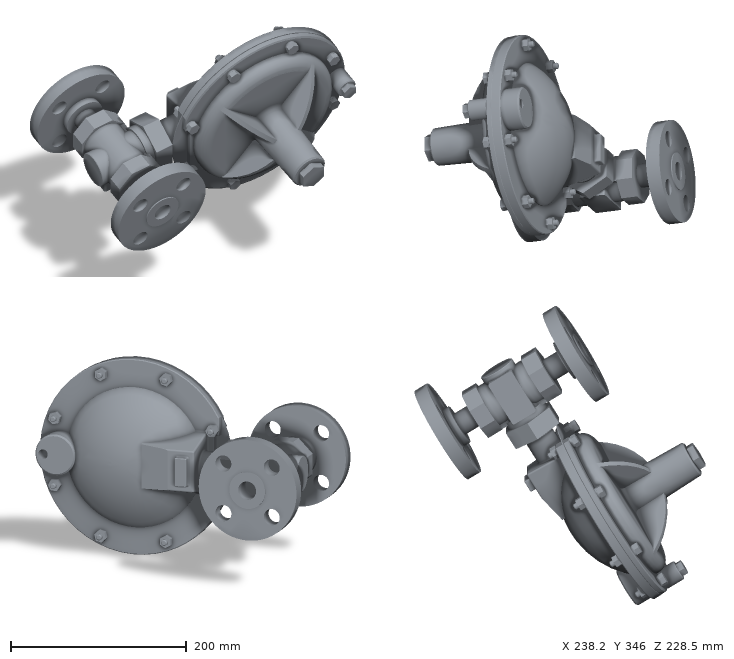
import cadquery as cq
import math


OVERALL_LENGTH = 346.0
CASE_DIAMETER = 228.5
FLANGE_RADIUS = 58.8

CASE_RADIUS = CASE_DIAMETER / 2
COVER_STEP = 0.52
COVER_RADIUS = CASE_RADIUS - COVER_STEP
CASE_LEFT = 13.5
DIAPHRAGM_LEFT = 23.0
DIAPHRAGM_RIGHT = 24.2
CASE_RIGHT = 31.0
CASE_CHAMFER = 1.0
COVER_BEVEL_DEPTH = 1.0
COVER_BEVEL_LENGTH = 2.0
COVER_CHAMFER = 0.7
LEFT_DOME_RADIUS = 82.0
LEFT_DOME_APEX = -28.0
LEFT_DOME_BASE = 12.5
RIGHT_DOME_RADIUS = 91.0
RIGHT_DOME_FACE = 48.8
RIGHT_DOME_ROUND = 14.0
RIM_FLAT_Y = -101.0
RIM_NOTCH_Y = -95.0
RIM_NOTCH_WIDTH = 64.5

BOLT_COUNT = 8
BOLT_CIRCLE_RADIUS = 102.5
BOLT_PITCH = 360 / BOLT_COUNT
HEX_TURN = BOLT_PITCH / 2
HEX_RADIUS = 7.3
STUD_RADIUS = 3.5
STUD_CHAMFER = 1.0
STUD_END = 0.7
NUT_END = 6.0
WASHER_RADIUS = 6.5
WASHER_END = 33.5
BOLT_HEAD_END = 39.5

BARREL_ROOT_RADIUS = 24.5
BARREL_TIP_RADIUS = 21.5
BARREL_TIP = 134.5
BARREL_CHAMFER = 1.7
BARREL_FILLET = 5.2
BARREL_PLUG_RADIUS = 16.3
BARREL_PLUG_NECK_RADIUS = 10.5
BARREL_PLUG_START = 135.5
BARREL_PLUG_END = 143.2
RIB_THICKNESS = 6.0
RIB_ROOT = (45.0, 86.5)
RIB_MIDDLE = (69.0, 63.0)
RIB_TIP = (88.5, 19.0)
RIB_ANGLES = (45, 135, 225, 315)

VENT_Y = 88.5
VENT_RADIUS = 24.0
VENT_END = -8.3
VENT_CHAMFER = 1.7
VENT_HOLE_Y = 102.7
VENT_HOLE_RADIUS = 5.5
VENT_HOLE_DEPTH = 17.3
RELIEF_Y = 102.0
RELIEF_RADIUS = 11.8
RELIEF_END = 53.5
RELIEF_CHAMFER = 1.0
RELIEF_PLUG_RADIUS = 9.0
RELIEF_PLUG_END = 60.5

BOX_LEFT = -33.2
BOX_BOTTOM = -87.0
BOX_SHOULDER_Y = -55.7
BOX_TOP = (-26.0, -21.5)
BOX_TIP_HALF_WIDTH = 24.0
BOX_ROOT_HALF_WIDTH = 36.3
BOX_ROUND = 2.0
BOX_FILLET = 2.0
BOX_FOOT_MARGIN = 5.2
PAD_END = -40.5
PAD_TOP = -66.0
PAD_BOTTOM = -80.2
PAD_WIDTH = 33.2
PAD_ROUND = 1.5
PAD_CHAMFER = 0.7
PAD_FILLET = 1.7

NECK_RADIUS = 17.3
NECK_FILLET = 1.7
COLLAR_RADIUS = 20.5
COLLAR_TOP = -114.8
NUT_TOP = -117.2
NUT_BOTTOM = -138.7
NUT_RADIUS = 33.2
NUT_TURN = 30
SOCKET_RADIUS = 26.0
SOCKET_BOTTOM = -147.7
BRANCH_RADIUS = 23.0

VALVE_Y = CASE_RADIUS + FLANGE_RADIUS - OVERALL_LENGTH
VALVE_RADIUS = 26.0
VALVE_END = 49.0
OCTAGON_START = 30.0
OCTAGON_SIDES = 8
OCTAGON_FLATS = 57.5
BACK_BLOCK_DEPTH = 28.0
BACK_BLOCK_HEIGHT = 25.5
FOOT_WIDTH = 31.0
FOOT_BOTTOM = -27.5
FOOT_FRONT = -200.0
FOOT_ROUND = 2.5
CAP_RADIUS = 20.8
CAP_FRONT = -206.0
CAP_CHAMFER = 0.7

NIPPLE_RADIUS = 13.5
BORE_RADIUS = 10.7
HUB_START = 70.0
HUB_RADIUS = 24.0
FLANGE_START = 77.5
FLANGE_END = 93.7
FACE_END = 95.0
FACE_RADIUS = 21.5
FLANGE_HOLE_DIAMETER = 19.0
FLANGE_HOLE_OFFSET = 29.0


def disc_x(start, end, radius, y=0.0):
    """Cylinder along X between two X positions."""
    return cq.Workplane("YZ", origin=(start, y, 0)).circle(radius).extrude(end - start)


def disc_y(bottom, top, radius):
    """Cylinder along Y on the valve's branch axis."""
    return cq.Workplane("XZ", origin=(0, top, 0)).circle(radius).extrude(top - bottom)


def hexagon_x(start, end, radius, y=0.0, corner_angle=90.0):
    """Hexagonal prism along X; the corner angle is measured from +Y towards +Z."""
    prism = cq.Workplane("YZ").polygon(6, 2 * radius).extrude(end - start)
    return prism.rotate((0, 0, 0), (1, 0, 0), corner_angle).translate((start, y, 0))


def revolve_x(profile):
    """Solid of revolution about X from a closed profile of (X, radius)."""
    return profile.close().revolve(360, (0, 0, 0), (1, 0, 0))


def box_between(low, high):
    """Box from its lowest and highest corners."""
    size = [b - a for a, b in zip(low, high)]
    return cq.Workplane("XY").box(*size, centered=False).translate(low)


def rim_cutter(start, end):
    """Removes the flat at the bottom of the rim, and the deeper notch in its middle."""
    half_notch = RIM_NOTCH_WIDTH / 2
    flat = box_between((start, -CASE_RADIUS, -CASE_RADIUS), (end, RIM_FLAT_Y, CASE_RADIUS))
    notch = box_between((start, -CASE_RADIUS, -half_notch), (end, RIM_NOTCH_Y, half_notch))
    return flat.union(notch)


def make_left_casing():
    """Left half of the casing: a flat rim with a shallow spherical dome."""
    rim = disc_x(CASE_LEFT, DIAPHRAGM_LEFT, CASE_RADIUS)
    rim = rim.cut(rim_cutter(CASE_LEFT, DIAPHRAGM_LEFT))
    rim = rim.faces("<X").chamfer(CASE_CHAMFER)
    rise = LEFT_DOME_BASE - LEFT_DOME_APEX
    sphere_radius = (LEFT_DOME_RADIUS**2 + rise**2) / (2 * rise)
    half_angle = math.asin(LEFT_DOME_RADIUS / sphere_radius) / 2
    middle_x = LEFT_DOME_APEX + sphere_radius * (1 - math.cos(half_angle))
    middle_radius = sphere_radius * math.sin(half_angle)
    dome = revolve_x(
        cq.Workplane("XY")
        .moveTo(LEFT_DOME_APEX, 0)
        .threePointArc((middle_x, middle_radius), (LEFT_DOME_BASE, LEFT_DOME_RADIUS))
        .lineTo(CASE_LEFT, LEFT_DOME_RADIUS)
        .lineTo(CASE_LEFT, 0)
    )
    return rim.union(dome)


def make_cover():
    """Right half of the casing, with the spring barrel growing out of its dome."""
    rim = disc_x(DIAPHRAGM_RIGHT, CASE_RIGHT, COVER_RADIUS).faces("<X").chamfer(COVER_CHAMFER)
    rim = rim.faces(">X").chamfer(COVER_BEVEL_DEPTH, COVER_BEVEL_LENGTH)
    rim = rim.cut(rim_cutter(DIAPHRAGM_RIGHT, CASE_RIGHT))
    dome = disc_x(CASE_RIGHT, RIGHT_DOME_FACE, RIGHT_DOME_RADIUS)
    dome = dome.faces(">X").edges().fillet(RIGHT_DOME_ROUND)
    root = cq.selectors.BoxSelector(
        (RIGHT_DOME_FACE - BARREL_FILLET, -BARREL_ROOT_RADIUS, -BARREL_ROOT_RADIUS),
        (RIGHT_DOME_FACE + BARREL_FILLET, BARREL_ROOT_RADIUS, BARREL_ROOT_RADIUS),
    )
    dome = dome.union(make_barrel()).edges(root).fillet(BARREL_FILLET)
    return rim.union(dome)


def make_barrel():
    """Tapered spring barrel with a hexagonal plug in its end."""
    barrel = revolve_x(
        cq.Workplane("XY")
        .moveTo(CASE_RIGHT, 0)
        .lineTo(CASE_RIGHT, BARREL_ROOT_RADIUS)
        .lineTo(BARREL_TIP, BARREL_TIP_RADIUS)
        .lineTo(BARREL_TIP, 0)
    )
    barrel = barrel.faces(">X").chamfer(BARREL_CHAMFER)
    neck = disc_x(BARREL_TIP, BARREL_PLUG_START, BARREL_PLUG_NECK_RADIUS)
    plug = hexagon_x(BARREL_PLUG_START, BARREL_PLUG_END, BARREL_PLUG_RADIUS)
    return barrel.union(neck).union(plug)


def make_rib(angle):
    """Curved web from the right dome to the barrel."""
    web = (
        cq.Workplane("XY")
        .moveTo(*RIB_ROOT)
        .threePointArc(RIB_MIDDLE, RIB_TIP)
        .lineTo(RIB_TIP[0], 0)
        .lineTo(CASE_RIGHT, 0)
        .lineTo(CASE_RIGHT, RIB_ROOT[1])
        .close()
        .extrude(RIB_THICKNESS / 2, both=True)
    )
    return web.rotate((0, 0, 0), (1, 0, 0), angle)


def make_bolt(angle):
    """Casing bolt with its nut on the left and its head and washer on the right."""
    y = BOLT_CIRCLE_RADIUS
    stud = disc_x(STUD_END, WASHER_END, STUD_RADIUS, y).faces("<X").chamfer(STUD_CHAMFER)
    nut = hexagon_x(NUT_END, CASE_LEFT, HEX_RADIUS, y, HEX_TURN)
    washer = disc_x(CASE_RIGHT, WASHER_END, WASHER_RADIUS, y)
    head = hexagon_x(WASHER_END, BOLT_HEAD_END, HEX_RADIUS, y, HEX_TURN)
    bolt = stud.union(nut).union(washer).union(head)
    return bolt.rotate((0, 0, 0), (1, 0, 0), angle)


def make_vent_boss():
    """Large boss on the left of the rim, with a vent hole."""
    boss = disc_x(VENT_END, CASE_LEFT, VENT_RADIUS, VENT_Y).faces("<X").chamfer(VENT_CHAMFER)
    hole = disc_x(VENT_END, VENT_END + VENT_HOLE_DEPTH, VENT_HOLE_RADIUS, VENT_HOLE_Y)
    return boss.cut(hole)


def make_relief_boss():
    """Small boss on the right of the rim, closed by a hexagonal plug."""
    boss = disc_x(CASE_RIGHT, RELIEF_END, RELIEF_RADIUS, RELIEF_Y).faces(">X").chamfer(RELIEF_CHAMFER)
    return boss.union(hexagon_x(RELIEF_END, RELIEF_PLUG_END, RELIEF_PLUG_RADIUS, RELIEF_Y))


def make_outlet_box():
    """Box with tapered sides and a sloped upper face, carrying a rounded pad."""
    side = (
        cq.Workplane("XY")
        .moveTo(*BOX_TOP)
        .lineTo(BOX_LEFT, BOX_SHOULDER_Y)
        .lineTo(BOX_LEFT, BOX_BOTTOM)
        .lineTo(CASE_LEFT, BOX_BOTTOM)
        .lineTo(CASE_LEFT, BOX_TOP[1])
        .close()
        .extrude(BOX_ROOT_HALF_WIDTH, both=True)
    )
    taper = (
        cq.Workplane("XZ")
        .moveTo(BOX_LEFT, -BOX_TIP_HALF_WIDTH)
        .lineTo(CASE_LEFT, -BOX_ROOT_HALF_WIDTH)
        .lineTo(CASE_LEFT, BOX_ROOT_HALF_WIDTH)
        .lineTo(BOX_LEFT, BOX_TIP_HALF_WIDTH)
        .close()
        .extrude(-BOX_BOTTOM)
    )
    box = side.intersect(taper)
    box = box.edges("not(>X or >Y)").edges("<X or <Y").fillet(BOX_ROUND)

    foot_width = BOX_ROOT_HALF_WIDTH + BOX_FOOT_MARGIN
    foot_low = (CASE_LEFT, BOX_BOTTOM - BOX_FOOT_MARGIN, -foot_width)
    foot = box_between(foot_low, (DIAPHRAGM_LEFT, BOX_TOP[1], foot_width))
    root = cq.selectors.BoxSelector(
        (CASE_LEFT - BOX_FILLET, BOX_BOTTOM - BOX_FILLET, -BOX_ROOT_HALF_WIDTH - BOX_FILLET),
        (CASE_LEFT + BOX_FILLET, BOX_TOP[1] - BOX_FILLET, BOX_ROOT_HALF_WIDTH + BOX_FILLET),
    )
    box = box.union(foot).edges(root).edges("not(|X)").fillet(BOX_FILLET)

    pad = box_between((PAD_END, PAD_BOTTOM, -PAD_WIDTH / 2), (BOX_LEFT, PAD_TOP, PAD_WIDTH / 2))
    pad = pad.edges("|X").fillet(PAD_ROUND).faces("<X").chamfer(PAD_CHAMFER)
    pad_root = cq.selectors.BoxSelector(
        (BOX_LEFT - PAD_FILLET, PAD_BOTTOM - PAD_FILLET, -PAD_WIDTH),
        (BOX_LEFT + PAD_FILLET, PAD_TOP + PAD_FILLET, PAD_WIDTH),
    )
    return box.union(pad).edges(pad_root).edges("not(|X)").fillet(PAD_FILLET)


def make_neck_root():
    """Flared ring that blends the neck into the underside of the box."""
    flare_radius = NECK_RADIUS + NECK_FILLET
    flare_bottom = BOX_BOTTOM - NECK_FILLET
    reach = NECK_FILLET * (1 - math.sqrt(0.5))
    return (
        cq.Workplane("XY")
        .moveTo(0, flare_bottom)
        .lineTo(NECK_RADIUS, flare_bottom)
        .threePointArc((NECK_RADIUS + reach, BOX_BOTTOM - reach), (flare_radius, BOX_BOTTOM))
        .lineTo(0, BOX_BOTTOM)
        .close()
        .revolve(360, (0, 0, 0), (0, 1, 0))
    )


def make_neck():
    """Neck, union nut and branch, stacked along Y from the box to the valve axis."""
    neck = disc_y(NUT_TOP, BOX_BOTTOM, NECK_RADIUS)
    neck = neck.union(make_neck_root())
    collar = disc_y(NUT_TOP, COLLAR_TOP, COLLAR_RADIUS)
    nut = cq.Workplane("XZ", origin=(0, NUT_TOP, 0)).polygon(6, 2 * NUT_RADIUS).extrude(NUT_TOP - NUT_BOTTOM)
    nut = nut.rotate((0, 0, 0), (0, 1, 0), NUT_TURN)
    socket = disc_y(SOCKET_BOTTOM, NUT_BOTTOM, SOCKET_RADIUS)
    branch = disc_y(VALVE_Y, SOCKET_BOTTOM, BRANCH_RADIUS)
    return neck.union(collar).union(nut).union(socket).union(branch)


def make_octagon(start):
    """Octagonal wrench collar around one end of the valve body."""
    corner_diameter = OCTAGON_FLATS / math.cos(math.pi / OCTAGON_SIDES)
    octagon = cq.Workplane("YZ").polygon(OCTAGON_SIDES, corner_diameter).extrude(VALVE_END - OCTAGON_START)
    return octagon.rotate((0, 0, 0), (1, 0, 0), 180 / OCTAGON_SIDES).translate((start, VALVE_Y, 0))


def make_valve():
    """Round valve body with octagonal ends, a cap, a back block, a foot and two nipples."""
    back = VALVE_Y + BACK_BLOCK_DEPTH
    half_height = BACK_BLOCK_HEIGHT / 2
    barrel = disc_x(-OCTAGON_START, OCTAGON_START, VALVE_RADIUS, VALVE_Y)
    block = box_between((-OCTAGON_START, VALVE_Y, -half_height), (OCTAGON_START, back, half_height))
    foot = box_between((-FOOT_WIDTH / 2, FOOT_FRONT, FOOT_BOTTOM), (FOOT_WIDTH / 2, back, 0))
    foot = foot.edges("|Z").fillet(FOOT_ROUND)
    cap = disc_y(CAP_FRONT, VALVE_Y, CAP_RADIUS).faces("<Y").chamfer(CAP_CHAMFER)
    valve = barrel.union(block).union(foot).union(cap)
    valve = valve.union(make_octagon(-VALVE_END)).union(make_octagon(OCTAGON_START))
    return valve.union(disc_x(-HUB_START, HUB_START, NIPPLE_RADIUS, VALVE_Y))


def make_regulator():
    """Casing, diaphragm, bolts, neck and valve as one body."""
    regulator = make_left_casing()
    regulator = regulator.union(disc_x(DIAPHRAGM_LEFT, DIAPHRAGM_RIGHT, CASE_RADIUS))
    regulator = regulator.union(make_cover())
    for angle in RIB_ANGLES:
        regulator = regulator.union(make_rib(angle))
    for index in range(BOLT_COUNT):
        regulator = regulator.union(make_bolt((index + 0.5) * BOLT_PITCH))
    regulator = regulator.union(make_relief_boss()).union(make_outlet_box())
    regulator = regulator.union(make_vent_boss())
    return regulator.union(make_neck()).union(make_valve())


def make_pipe_flange(side_angle):
    """Drilled flange with hub and raised face, butting against the end of a nipple."""
    hub = disc_x(HUB_START, FLANGE_START, HUB_RADIUS)
    plate = (
        disc_x(FLANGE_START, FLANGE_END, FLANGE_RADIUS)
        .faces(">X")
        .workplane(origin=(0, 0, 0))
        .rect(2 * FLANGE_HOLE_OFFSET, 2 * FLANGE_HOLE_OFFSET, forConstruction=True)
        .vertices()
        .hole(FLANGE_HOLE_DIAMETER)
    )
    flange = hub.union(plate).union(disc_x(FLANGE_END, FACE_END, FACE_RADIUS))
    flange = flange.cut(disc_x(HUB_START, FACE_END, BORE_RADIUS))
    return flange.rotate((0, 0, 0), (0, 1, 0), side_angle).translate((0, VALVE_Y, 0))


regulator = make_regulator()
pipe_flanges = [make_pipe_flange(side_angle) for side_angle in (0, 180)]

result = cq.Compound.makeCompound([regulator.val(), *[flange.val() for flange in pipe_flanges]])